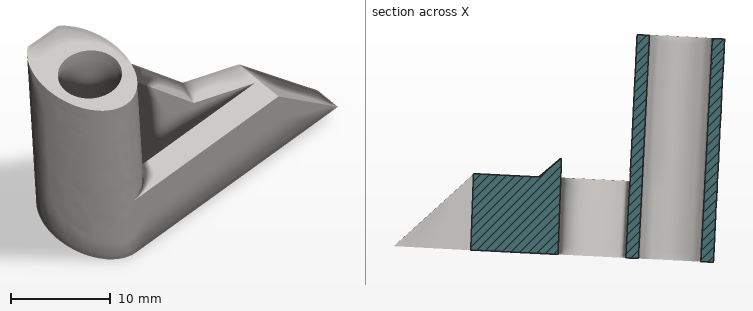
import cadquery as cq
import math

lean_angle = 2.9
roll_angle = -0.3

sleeve_height = 22.4
sleeve_depth = 8.85
sleeve_half_width = 6.65
sleeve_right = 12.6
sleeve_center_x = sleeve_right - sleeve_half_width
sleeve_center_y = sleeve_depth / 2
bore_diameter = 6.43
bore_center_x = 7.1

arm_height = 7.7
wall_thickness = 2.98
arm_tip_y = 32.05
tip_left_x = 9.0
tip_right_x = 12.05
arm_root_y = 7.05

gusset_foot_y = 18.65

slant_angle = math.atan2(tip_left_x, arm_tip_y - arm_root_y)
right_angle = math.atan2(sleeve_right - tip_right_x, arm_tip_y - sleeve_center_y)


def make_sleeve():
    post = (
        cq.Workplane("XY")
        .center(sleeve_center_x, sleeve_center_y)
        .ellipse(sleeve_half_width, sleeve_depth / 2)
        .extrude(sleeve_height)
    )
    keep_right_of_flat = cq.Workplane("XY").box(
        sleeve_right, sleeve_depth, sleeve_height, centered=False
    )
    return post.intersect(keep_right_of_flat)


def make_arm_plan():
    """Outline of the arm with its triangular window, at full sleeve height."""
    outline = (
        cq.Workplane("XY")
        .polyline([
            (0, sleeve_center_y),
            (sleeve_right, sleeve_center_y),
            (tip_right_x, arm_tip_y),
            (tip_left_x, arm_tip_y),
            (0, arm_root_y),
        ])
        .close()
        .extrude(sleeve_height)
    )

    def left_side_x(y):
        outer_x = (y - arm_root_y) * math.tan(slant_angle)
        return outer_x + wall_thickness / math.cos(slant_angle)

    def right_side_x(y):
        outer_x = sleeve_right - (y - sleeve_center_y) * math.tan(right_angle)
        return outer_x - wall_thickness / math.cos(right_angle)

    gap = right_side_x(sleeve_center_y) - left_side_x(sleeve_center_y)
    apex_y = sleeve_center_y + gap / (math.tan(slant_angle) + math.tan(right_angle))
    window = (
        cq.Workplane("XY")
        .polyline([
            (left_side_x(sleeve_center_y), sleeve_center_y),
            (right_side_x(sleeve_center_y), sleeve_center_y),
            (left_side_x(apex_y), apex_y),
        ])
        .close()
        .extrude(sleeve_height)
    )
    return outline.cut(window)


def make_low_arm():
    """Arm at wall height, with a 45 degree bevel up from the tip."""
    side_profile = (
        cq.Workplane("YZ")
        .polyline([
            (sleeve_center_y, 0),
            (arm_tip_y, 0),
            (arm_tip_y - arm_height, arm_height),
            (sleeve_center_y, arm_height),
        ])
        .close()
        .extrude(sleeve_right)
    )
    return make_arm_plan().intersect(side_profile)


def make_gusset():
    """Slanted wall cut by a 45 degree slope that runs along the wall."""
    wall_frame = cq.Plane(
        origin=(0, arm_root_y, 0),
        xDir=(math.sin(slant_angle), math.cos(slant_angle), 0),
        normal=(math.cos(slant_angle), -math.sin(slant_angle), 0),
    )
    foot = (gusset_foot_y - arm_root_y) / math.cos(slant_angle)
    root = -wall_thickness
    slope_profile = (
        cq.Workplane(wall_frame)
        .polyline([
            (root, 0),
            (foot, 0),
            (foot, arm_height),
            (root, arm_height + foot - root),
        ])
        .close()
        .extrude(wall_thickness)
    )
    return make_arm_plan().intersect(slope_profile)


bore = (
    cq.Workplane("XY")
    .center(bore_center_x, sleeve_center_y)
    .circle(bore_diameter / 2)
    .extrude(sleeve_height)
)
upright_part = make_sleeve().union(make_low_arm()).union(make_gusset()).cut(bore)
result = (
    upright_part
    .rotate((0, 0, 0), (1, 0, 0), lean_angle)
    .rotate((0, 0, 0), (0, 1, 0), roll_angle)
)